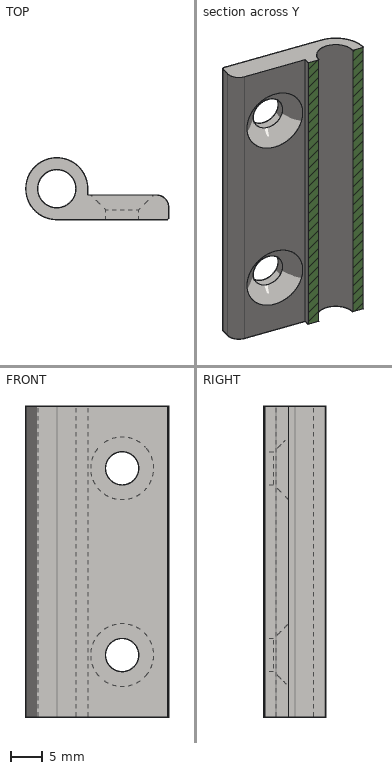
import cadquery as cq

height = 50.0
knuckle_radius = 5.0
pin_hole_diameter = 6.1
plate_reach = 18.0
plate_thickness = 4.0
back_edge_radius = 2.0
front_edge_chamfer = 0.25
screw_hole_diameter = 5.3
screw_hole_x = 10.5
screw_hole_end_distance = 10.0
countersink_depth = 2.4

plate_front_y = -knuckle_radius
plate_back_y = plate_front_y + plate_thickness


def make_leaf():
    """Knuckle and plate; a short flat drops from the knuckle to the plate."""
    leaf = (
        cq.Workplane("XY")
        .moveTo(0, plate_front_y)
        .lineTo(plate_reach, plate_front_y)
        .lineTo(plate_reach, plate_back_y)
        .lineTo(knuckle_radius, plate_back_y)
        .lineTo(knuckle_radius, 0)
        .radiusArc((-knuckle_radius, 0), -knuckle_radius)
        .radiusArc((0, plate_front_y), -knuckle_radius)
        .close()
        .extrude(height)
    )
    free_edges = leaf.faces(">X").edges("|Z")
    leaf = free_edges.edges(">Y").fillet(back_edge_radius)
    return leaf.faces(">X").edges("|Z").edges("<Y").chamfer(front_edge_chamfer)


def make_screw_hole(z):
    """Straight hole from the front, widening at 45 degrees to the back face."""
    hole_radius = screw_hole_diameter / 2
    countersink_start_y = plate_back_y - countersink_depth
    return (
        cq.Workplane("XY", origin=(screw_hole_x, 0, z))
        .moveTo(0, plate_front_y)
        .lineTo(hole_radius, plate_front_y)
        .lineTo(hole_radius, countersink_start_y)
        .lineTo(hole_radius + countersink_depth, plate_back_y)
        .lineTo(0, plate_back_y)
        .close()
        .revolve(360, (0, 0, 0), (0, 1, 0))
    )


pin_hole = cq.Workplane("XY").circle(pin_hole_diameter / 2).extrude(height)
result = make_leaf().cut(pin_hole)
for hole_z in (screw_hole_end_distance, height - screw_hole_end_distance):
    result = result.cut(make_screw_hole(hole_z))